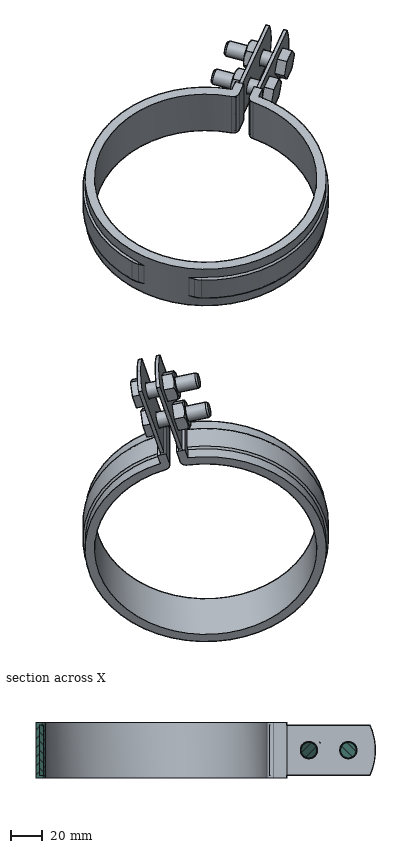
import cadquery as cq
import math

LINER_WIDTH = 35.0
LINER_INNER_RADIUS = 70.0
LINER_OUTER_RADIUS = 76.0
LINER_GAP = 6.8
LEG_THICKNESS = 5.5
LEG_TOP_Y = 82.2
LEG_BEND_RADIUS = 4.0

BAND_RADIUS = 154.7 / 2
BAND_TOP_WIDTH = 17.3
BAND_SIDE_RUN = 1.0
BAND_END_Y = -74.5
BAND_END_FILLET = 15.0

STRAP_WIDTH = 31.7
STRAP_THICKNESS = 2.4
STRAP_COVER = 1.3
TAB_TIP_Y = 214 - LINER_OUTER_RADIUS
TAB_TIP_SAGITTA = 3.5
BOLT_HOLE_DIAMETER = 11.0

BOLT_CENTERS_Y = (96.0, 121.0)
BOLT_DIAMETER = 10.0
BOLT_TIP_DIAMETER = 8.3
BOLT_TIP_LENGTH = 1.3
BOLT_TIP_X = -28.7
HEX_ACROSS_FLATS = 17.0
HEAD_THICKNESS = 6.5
NUT_THICKNESS = 7.5
NUT_FACE_DIAMETER = 16.0
NUT_CHAMFER_ANGLE = 30

BAND_HEIGHT = BAND_RADIUS - LINER_OUTER_RADIUS
BAND_ROOT_WIDTH = BAND_TOP_WIDTH + 4 * BAND_SIDE_RUN
STRAP_INNER_RADIUS = LINER_INNER_RADIUS + STRAP_COVER
STRAP_GAP = LINER_GAP + 2 * STRAP_COVER
STRAP_BEND_RADIUS = LEG_BEND_RADIUS - STRAP_COVER
TAB_OUTER_X = STRAP_GAP / 2 + STRAP_THICKNESS
HEX_ACROSS_CORNERS = HEX_ACROSS_FLATS / math.cos(math.radians(30))


def disc(radius, width):
    return cq.Workplane("XY").circle(radius).extrude(width / 2, both=True)


def split_ring(outer_body, inner_radius, gap, leg_thickness, leg_end_y, width, bend_radius):
    """Bore a solid disc about Z into a ring, split it at +Y and add a leg along each side of the split."""
    legs = cq.Workplane("XY").box(
        gap + 2 * leg_thickness, leg_end_y - inner_radius, width, centered=(True, False, True)
    ).translate((0, inner_radius, 0))
    split = cq.Workplane("XY").box(gap, leg_end_y, width, centered=(True, False, True))
    body = outer_body.union(legs).cut(disc(inner_radius, width)).cut(split)

    bend_y = math.sqrt(inner_radius**2 - (gap / 2) ** 2)
    for side in (-1, 1):
        bend_edge = cq.selectors.NearestToPointSelector((side * gap / 2, bend_y, 0))
        body = body.edges("|Z").edges(bend_edge).fillet(bend_radius)
    return body


def make_band():
    """Solid disc whose rim is the raised band.

    The flat at -Y dips under the liner, and the sloped sides reach one band height below its surface.
    """
    flat_half_length = math.sqrt(BAND_RADIUS**2 - BAND_END_Y**2)
    return (
        cq.Workplane("XY")
        .moveTo(-flat_half_length, BAND_END_Y)
        .threePointArc((0, BAND_RADIUS), (flat_half_length, BAND_END_Y))
        .close()
        .extrude(BAND_ROOT_WIDTH / 2, both=True)
        .edges("|Z")
        .fillet(BAND_END_FILLET)
        .faces(">Z or <Z")
        .edges()
        .chamfer(2 * BAND_SIDE_RUN, 2 * BAND_HEIGHT)
    )


def make_strap():
    strap = split_ring(
        disc(STRAP_INNER_RADIUS + STRAP_THICKNESS, STRAP_WIDTH),
        STRAP_INNER_RADIUS,
        STRAP_GAP,
        STRAP_THICKNESS,
        TAB_TIP_Y,
        STRAP_WIDTH,
        STRAP_BEND_RADIUS,
    )
    tip_corner_y = TAB_TIP_Y - TAB_TIP_SAGITTA
    side_outline = (
        cq.Workplane("YZ")
        .moveTo(-LINER_OUTER_RADIUS, -STRAP_WIDTH / 2)
        .lineTo(tip_corner_y, -STRAP_WIDTH / 2)
        .threePointArc((TAB_TIP_Y, 0), (tip_corner_y, STRAP_WIDTH / 2))
        .lineTo(-LINER_OUTER_RADIUS, STRAP_WIDTH / 2)
        .close()
        .extrude(LINER_OUTER_RADIUS, both=True)
    )
    bolt_holes = (
        cq.Workplane("YZ")
        .pushPoints([(y, 0) for y in BOLT_CENTERS_Y])
        .circle(BOLT_HOLE_DIAMETER / 2)
        .extrude(2 * TAB_OUTER_X, both=True)
    )
    return strap.intersect(side_outline).cut(bolt_holes)


def make_liner(strap):
    liner = split_ring(
        disc(LINER_OUTER_RADIUS, LINER_WIDTH).union(make_band()),
        LINER_INNER_RADIUS,
        LINER_GAP,
        LEG_THICKNESS,
        LEG_TOP_Y,
        LINER_WIDTH,
        LEG_BEND_RADIUS,
    )
    return liner.cut(strap)


def hexagon(start_x, thickness):
    """Hexagonal prism along +X with two flats facing up and down."""
    return cq.Workplane("YZ", origin=(start_x, 0, 0)).polygon(6, HEX_ACROSS_CORNERS).extrude(thickness)


def make_bolt(center_y):
    head = hexagon(TAB_OUTER_X, HEAD_THICKNESS)
    tip_step = (BOLT_DIAMETER - BOLT_TIP_DIAMETER) / 2
    shank = (
        cq.Workplane("YZ", origin=(BOLT_TIP_X, 0, 0))
        .circle(BOLT_DIAMETER / 2)
        .extrude(TAB_OUTER_X - BOLT_TIP_X)
        .faces("<X")
        .edges()
        .chamfer(BOLT_TIP_LENGTH, tip_step)
    )
    nut_face_x = -TAB_OUTER_X - NUT_THICKNESS
    turned_blank = (
        cq.Workplane("YZ", origin=(nut_face_x, 0, 0))
        .circle(NUT_FACE_DIAMETER / 2)
        .extrude(NUT_THICKNESS, taper=NUT_CHAMFER_ANGLE - 90)
    )
    nut = hexagon(nut_face_x, NUT_THICKNESS).intersect(turned_blank)
    return head.union(shank).union(nut).translate((0, center_y, 0))


strap = make_strap()
liner = make_liner(strap)
bolts = [make_bolt(y) for y in BOLT_CENTERS_Y]

result = cq.Compound.makeCompound([liner.val(), strap.val(), *[bolt.val() for bolt in bolts]])